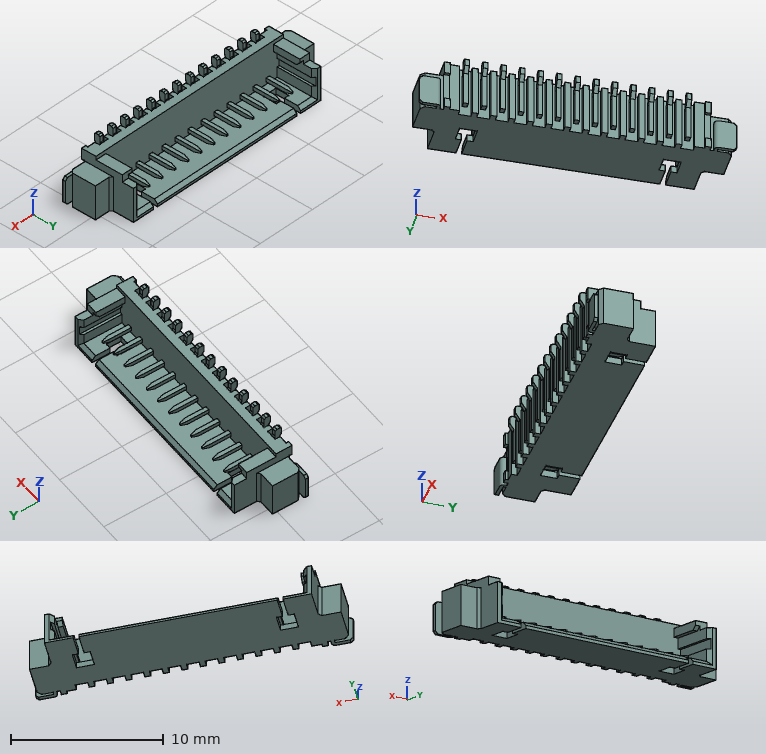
import cadquery as cq


PIN_COUNT = 13
PITCH = 1.25
PIN_WIDTH = 0.32
PIN_X = [(i - (PIN_COUNT - 1) / 2) * PITCH for i in range(PIN_COUNT)]

BODY_HALF_LENGTH = 9.0
BODY_DEPTH = 4.75
WALL_HEIGHT = 3.7
WALL_FRONT = 0.7
WALL_BACK = 1.4
FLOOR_THICKNESS = 0.5
CAVITY_HALF_LENGTH = 8.4
SIDE_HEIGHT = 2.8
LEAD_IN = 0.28

RAIL_TOP = 3.4
RAIL_BACK = 3.75
RAIL_INNER_X = 8.05

KEY_BOTTOM = 1.35
KEY_HEIGHT = 0.7
KEY_DEPTH = 0.2

RIB_FACE = 0.3
GROOVE_WIDTH = 0.85
CORNER_FACE = 0.1
CORNER_RECESS_FACE = 0.32
CORNER_WIDTH = 0.4
LOWER_PAD_HEIGHT = 0.7
CORNER_INNER_X = BODY_HALF_LENGTH - CORNER_WIDTH

OPENING_X = PIN_X[-1] - PITCH / 2
SLOT_WIDTH = 0.38
WINDOW_WIDTH = 1.2
WINDOW_FRONT = 2.15
WINDOW_BACK = 3.3

WING_END_X = 10.5
WING_FRONT = 0.43
WING_BACK = 2.75
WING_CHAMFER = 0.27
WING_GUSSET = 0.2

TAB_END_X = 10.7
TAB_HEIGHT = 2.2
TAB_THICKNESS = 0.25
TAB_STEM_X = 9.23
TAB_BEND_RADIUS = 0.26
TAB_CHAMFER = 0.2

TAIL_TOP = 4.2
TAIL_DEPTH = 0.51
TAIL_BEVEL_Y = 0.14
TAIL_BEVEL_Z = 0.1
TAIL_BOTTOM = 3.6
LEG_TOP = 3.15
LEG_BOTTOM = 0.7
PIN_Z = LEG_BOTTOM + PIN_WIDTH / 2
PIN_TAPER_START = 3.1
PIN_TIP = 3.6
PIN_TIP_WIDTH = 0.12


def block(x_range, y_range, z_range):
    """Axis-aligned box given by its limits."""
    size = [high - low for low, high in (x_range, y_range, z_range)]
    corner = cq.Vector(x_range[0], y_range[0], z_range[0])
    return cq.Workplane("XY").box(*size, centered=False).translate(corner)


def extrude_along_x(points, x_start, x_end):
    """Prism along X from a closed (Y, Z) outline."""
    plane = cq.Workplane("YZ", origin=(x_start, 0, 0))
    return plane.polyline(points).close().extrude(x_end - x_start)


def both_ends(shape):
    """The shape of the +X end together with its mirror image at the -X end."""
    return shape.union(shape.mirror("YZ"))


def make_pin_wall():
    length = (-BODY_HALF_LENGTH, BODY_HALF_LENGTH)
    rib_length = (-CORNER_INNER_X, CORNER_INNER_X)
    wall = block(length, (CORNER_RECESS_FACE, WALL_BACK), (0, WALL_HEIGHT))
    wall = wall.union(block(rib_length, (RIB_FACE, WALL_BACK), (0, WALL_HEIGHT)))
    for x in PIN_X:
        groove_x = (x - GROOVE_WIDTH / 2, x + GROOVE_WIDTH / 2)
        wall = wall.cut(block(groove_x, (0, WALL_FRONT), (0, WALL_HEIGHT)))
    pad_x = (CORNER_INNER_X, BODY_HALF_LENGTH)
    pad_y = (CORNER_FACE, WALL_BACK)
    pads = block(pad_x, pad_y, (0, LOWER_PAD_HEIGHT))
    pads = pads.union(block(pad_x, pad_y, (SIDE_HEIGHT, WALL_HEIGHT)))
    return wall.union(both_ends(pads))


def make_floor():
    outline = [
        (WALL_BACK, 0),
        (BODY_DEPTH, 0),
        (BODY_DEPTH, FLOOR_THICKNESS - LEAD_IN),
        (BODY_DEPTH - LEAD_IN, FLOOR_THICKNESS),
        (WALL_BACK, FLOOR_THICKNESS),
    ]
    floor = extrude_along_x(outline, -BODY_HALF_LENGTH, BODY_HALF_LENGTH)
    floor_z = (0, FLOOR_THICKNESS)
    slot_x = (OPENING_X - SLOT_WIDTH / 2, OPENING_X + SLOT_WIDTH / 2)
    window_x = (OPENING_X - WINDOW_WIDTH / 2, OPENING_X + WINDOW_WIDTH / 2)
    opening = block(slot_x, (WINDOW_FRONT, BODY_DEPTH), floor_z)
    opening = opening.union(block(window_x, (WINDOW_FRONT, WINDOW_BACK), floor_z))
    return floor.cut(both_ends(opening))


def make_side_wall():
    """Side wall of the +X end with its mouth bevel, key groove and rail."""
    outline = [
        (BODY_HALF_LENGTH, WALL_BACK),
        (BODY_HALF_LENGTH, BODY_DEPTH),
        (CAVITY_HALF_LENGTH + LEAD_IN, BODY_DEPTH),
        (CAVITY_HALF_LENGTH, BODY_DEPTH - LEAD_IN),
        (CAVITY_HALF_LENGTH, WALL_BACK),
    ]
    wall = cq.Workplane("XY").polyline(outline).close().extrude(SIDE_HEIGHT)
    key = block(
        (CAVITY_HALF_LENGTH, CAVITY_HALF_LENGTH + KEY_DEPTH),
        (WALL_BACK, BODY_DEPTH),
        (KEY_BOTTOM, KEY_BOTTOM + KEY_HEIGHT),
    )
    rail_outline = [
        (WALL_BACK, SIDE_HEIGHT),
        (RAIL_BACK - LEAD_IN, SIDE_HEIGHT),
        (RAIL_BACK, SIDE_HEIGHT + LEAD_IN),
        (RAIL_BACK, RAIL_TOP),
        (WALL_BACK, RAIL_TOP),
    ]
    overhang = extrude_along_x(rail_outline, RAIL_INNER_X, CAVITY_HALF_LENGTH)
    rail = block(
        (CAVITY_HALF_LENGTH, BODY_HALF_LENGTH), (WALL_BACK, RAIL_BACK), (SIDE_HEIGHT, RAIL_TOP)
    )
    return wall.cut(key).union(rail).union(overhang)


def make_wing():
    """Block on the +X end that holds the solder tab."""
    outline = [
        (BODY_HALF_LENGTH, WING_FRONT),
        (WING_END_X - WING_CHAMFER, WING_FRONT),
        (WING_END_X, WING_FRONT + WING_CHAMFER),
        (WING_END_X, WING_BACK),
        (BODY_HALF_LENGTH + WING_GUSSET, WING_BACK),
        (BODY_HALF_LENGTH, WING_BACK + WING_GUSSET),
    ]
    return cq.Workplane("XY").polyline(outline).close().extrude(SIDE_HEIGHT)


def make_tab():
    """L-shaped solder tab of the +X end: a flat plate bent back into the wing."""
    stem_outer_x = TAB_STEM_X + TAB_THICKNESS
    plate = block((TAB_STEM_X, TAB_END_X), (0, TAB_THICKNESS), (0, TAB_HEIGHT))
    plate = plate.edges("|Y and >X").chamfer(TAB_CHAMFER)
    stem = block((TAB_STEM_X, stem_outer_x), (0, WING_FRONT), (0, TAB_HEIGHT))
    tab = plate.union(stem)
    return tab.edges("|Z and <X and <Y").fillet(TAB_BEND_RADIUS)


def make_pin(x):
    """Contact pin: solder tail and leg in the groove, straight pin into the cavity."""
    half_width = PIN_WIDTH / 2
    outline = [
        (0, TAIL_BOTTOM),
        (0, TAIL_TOP - TAIL_BEVEL_Z),
        (TAIL_BEVEL_Y, TAIL_TOP),
        (TAIL_DEPTH - TAIL_BEVEL_Y, TAIL_TOP),
        (TAIL_DEPTH, TAIL_TOP - TAIL_BEVEL_Z),
        (TAIL_DEPTH, TAIL_BOTTOM),
        (WALL_FRONT, LEG_TOP),
        (WALL_FRONT, LEG_BOTTOM),
        (RIB_FACE, LEG_BOTTOM),
        (RIB_FACE, LEG_TOP),
    ]
    tail = extrude_along_x(outline, x - half_width, x + half_width)
    shank = block(
        (x - half_width, x + half_width),
        (WALL_BACK, PIN_TAPER_START),
        (PIN_Z - half_width, PIN_Z + half_width),
    )
    taper_length = PIN_TIP - PIN_TAPER_START
    tip = (
        cq.Workplane("XZ", origin=(x, PIN_TAPER_START, PIN_Z))
        .rect(PIN_WIDTH, PIN_WIDTH)
        .workplane(offset=-taper_length)
        .rect(PIN_TIP_WIDTH, PIN_TIP_WIDTH)
        .loft()
    )
    return tail.union(shank).union(tip)


result = make_pin_wall().union(make_floor())
for end_part in (make_side_wall(), make_wing(), make_tab()):
    result = result.union(both_ends(end_part))
for pin_x in PIN_X:
    result = result.union(make_pin(pin_x))